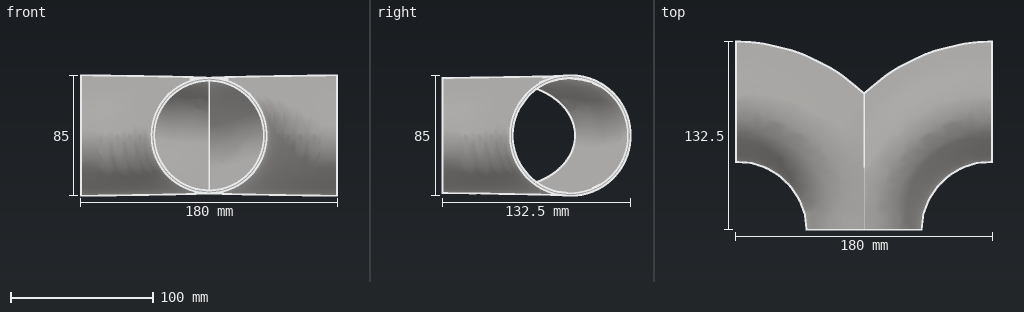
import cadquery as cq

total_length = 180.0
side_diameter = 85.0
front_diameter = 81.0
wall = 2.0

half_length = total_length / 2
bend_radius = half_length
front_y = -bend_radius


def tapered_bend(front_radius, side_radius):
    """Solid quarter bend from (0, front_y) to (half_length, 0), growing along the way."""
    path = cq.Workplane("XY").moveTo(0, front_y).radiusArc((half_length, 0), bend_radius)
    front_wire = cq.Wire.makeCircle(front_radius, cq.Vector(0, front_y, 0), cq.Vector(0, 1, 0))
    side_wire = cq.Wire.makeCircle(side_radius, cq.Vector(half_length, 0, 0), cq.Vector(1, 0, 0))
    return cq.Workplane(cq.Solid.sweep_multi([front_wire, side_wire], path.val()))


outside = tapered_bend(front_diameter / 2, side_diameter / 2)
bore = tapered_bend(front_diameter / 2 - wall, side_diameter / 2 - wall)

half_space = cq.Workplane("XY").box(
    total_length, 2 * total_length, total_length, centered=(False, True, True)
)
branch = outside.cut(bore).intersect(half_space)

result = branch.union(branch.mirror("YZ"))